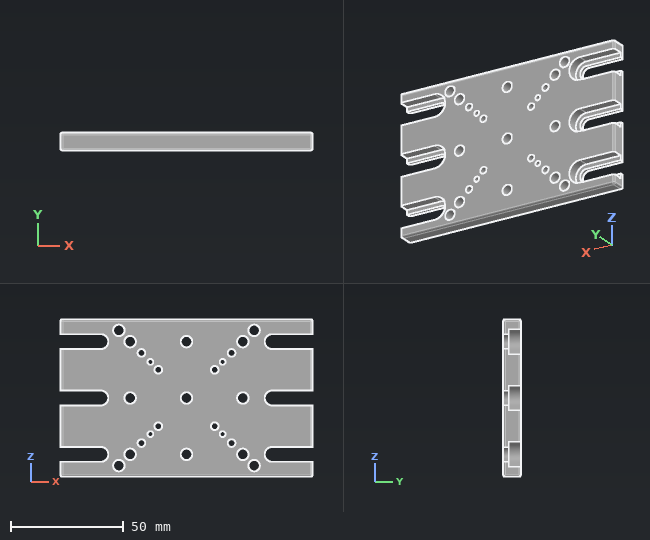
import cadquery as cq

length = 112.0
thickness = 8.0
height = 70.0
edge_radius = 1.0

slot_width = 6.5
slot_center_x = 38.0
recess_width = 11.0
recess_depth = 5.5

pitch = 25.0
mount_diameter = 5.0
diagonal_holes = [(30.0, mount_diameter), (20.0, 3.3), (16.0, 2.5), (12.5, 3.3)]

back_y = thickness / 2
rows = [-pitch, 0.0, pitch]
sides = [-1, 1]


def rounded_plate():
    """Solid plate with every outer edge rounded."""
    return cq.Workplane("XY").box(length, thickness, height).edges().fillet(edge_radius)


def open_slot(side, row_z, width, depth):
    """Cutter sunk from the back face: a round end and a channel out of the short side."""
    face = cq.Workplane("XZ", origin=(0, back_y, 0))
    round_end = face.center(side * slot_center_x, row_z).circle(width / 2).extrude(depth)
    run = length / 2 - slot_center_x
    channel = face.center(side * (slot_center_x + run / 2), row_z).rect(run, width).extrude(depth)
    return round_end.union(channel)


def hole_pins(points, diameter):
    """Cylinders through the full thickness at the given (x, z) points."""
    face = cq.Workplane("XZ", origin=(0, back_y, 0))
    return face.pushPoints(points).circle(diameter / 2).extrude(thickness)


result = rounded_plate()

for side in sides:
    for row_z in rows:
        result = result.cut(open_slot(side, row_z, slot_width, thickness))
        result = result.cut(open_slot(side, row_z, recess_width, recess_depth))

mount_points = [(x, z) for x in rows for z in rows]
result = result.cut(hole_pins(mount_points, mount_diameter))

for offset, diameter in diagonal_holes:
    corners = [(sx * offset, sz * offset) for sx in sides for sz in sides]
    result = result.cut(hole_pins(corners, diameter))